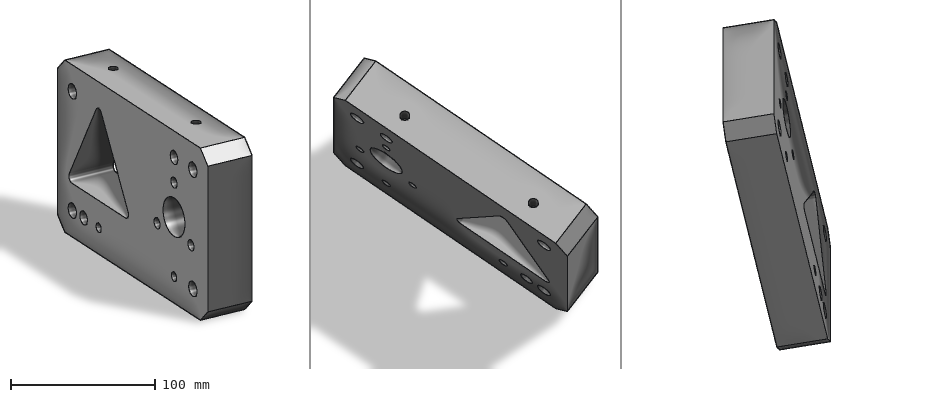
import cadquery as cq
import math

LENGTH = 200
THICKNESS = 36
HEIGHT = 130
CORNER_CHAMFER = 10
FRONT_Y = -THICKNESS / 2

ROW_Z = 45.0
CORNER_HOLE_X = 80
CORNER_HOLE_DIAMETER = 11.0
DOWEL_DIAMETER = 10
UPPER_DOWEL_X = 55.0
LOWER_DOWEL_X = -65.0
SMALL_HOLE_DIAMETER = 6.8

BORE_X = UPPER_DOWEL_X
BORE_DIAMETER = 29.0
BORE_LIP_DIAMETER = 27.5
SCREW_CIRCLE_RADIUS = 26
SCREW_COUNT = 3
SCREW_DIAMETER = 8
SCREW_LIP_DIAMETER = 6.5
LIP_THICKNESS = 8
STEP_DEPTH = THICKNESS - LIP_THICKNESS

WINDOW_X = -45.0
WINDOW_CORNER_RADIUS = 4
WINDOW_TIP_REACH = 45.0

EDGE_HOLE_XS = (-60, 50)
EDGE_HOLE_Y = 3.0
EDGE_HOLE_DIAMETER = 6.8
EDGE_HOLE_DEPTH = 15.0
DRILL_POINT_ANGLE = 118


def face_cylinder(x, z, diameter, depth=THICKNESS):
    """Cylinder reaching into the plate from its front face."""
    return cq.Workplane("XY").add(
        cq.Solid.makeCylinder(diameter / 2, depth, cq.Vector(x, FRONT_Y, z), cq.Vector(0, 1, 0))
    )


def stepped_hole(x, z, diameter, lip_diameter):
    """Through hole that narrows to a lip at the back of the plate."""
    return face_cylinder(x, z, lip_diameter).union(face_cylinder(x, z, diameter, STEP_DEPTH))


def triangular_window():
    """Prism for the window, with its apex towards +Z."""
    sharp_radius = WINDOW_TIP_REACH + WINDOW_CORNER_RADIUS
    angles = [math.radians(90 + 120 * corner) for corner in range(3)]
    corners = [
        (WINDOW_X + sharp_radius * math.cos(angle), sharp_radius * math.sin(angle))
        for angle in angles
    ]
    prism = cq.Workplane("XZ", origin=(0, FRONT_Y, 0)).polyline(corners).close().extrude(-THICKNESS)
    return prism.edges("|Y").fillet(WINDOW_CORNER_RADIUS)


def edge_hole(x):
    """Drilled hole with a conical bottom, entering from the top edge."""
    radius = EDGE_HOLE_DIAMETER / 2
    point_height = radius / math.tan(math.radians(DRILL_POINT_ANGLE / 2))
    profile = [
        (0, 0),
        (radius, 0),
        (radius, -EDGE_HOLE_DEPTH),
        (0, -EDGE_HOLE_DEPTH - point_height),
    ]
    drill = cq.Workplane("XZ").polyline(profile).close().revolve(360, (0, 0, 0), (0, 1, 0))
    return drill.translate((x, EDGE_HOLE_Y, HEIGHT / 2))


result = cq.Workplane("XY").box(LENGTH, THICKNESS, HEIGHT).edges("|Y").chamfer(CORNER_CHAMFER)

for x in (-CORNER_HOLE_X, CORNER_HOLE_X):
    for z in (-ROW_Z, ROW_Z):
        result = result.cut(face_cylinder(x, z, CORNER_HOLE_DIAMETER))
result = result.cut(face_cylinder(UPPER_DOWEL_X, ROW_Z, DOWEL_DIAMETER))
result = result.cut(face_cylinder(LOWER_DOWEL_X, -ROW_Z, DOWEL_DIAMETER))
for x in (WINDOW_X, BORE_X):
    result = result.cut(face_cylinder(x, -ROW_Z, SMALL_HOLE_DIAMETER))

result = result.cut(stepped_hole(BORE_X, 0, BORE_DIAMETER, BORE_LIP_DIAMETER))
for index in range(SCREW_COUNT):
    angle = math.radians(90 + 360 / SCREW_COUNT * index)
    screw_x = BORE_X + SCREW_CIRCLE_RADIUS * math.cos(angle)
    screw_z = SCREW_CIRCLE_RADIUS * math.sin(angle)
    result = result.cut(stepped_hole(screw_x, screw_z, SCREW_DIAMETER, SCREW_LIP_DIAMETER))

result = result.cut(triangular_window())

for x in EDGE_HOLE_XS:
    result = result.cut(edge_hole(x))